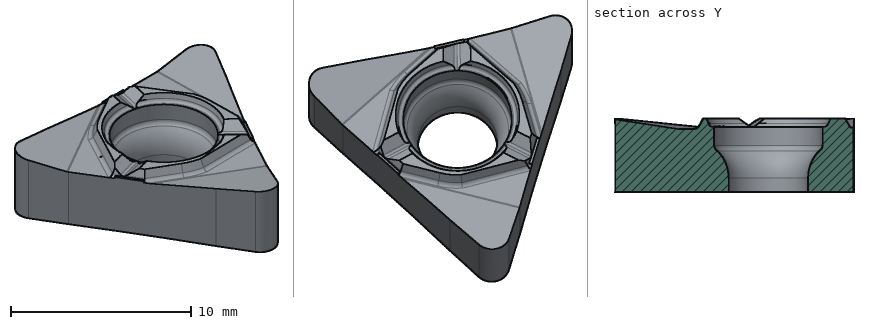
import cadquery as cq
import math

CORNERS = 3
STEP_ANGLE = 360 / CORNERS

inscribed_radius = 9.525 / 2
nose_radius = 1.0
flank_relief_half_length = 4.23
flank_relief_depth = 0.045
total_height = 4.1
floor_height = 3.51

rake_start = 4.3
rake_angle = 10.0
crease_radius = 0.35

island_rim_radius = 3.70
rim_wall_direction = 90.0
side_wall_distance = 3.60
side_wall_direction = 121.5
end_wall_distance = 4.26
end_wall_direction = 180.0
wall_draft = 30.0
island_foot_radius = 0.31

sill_height = 3.6
sill_start = -0.1
sill_end = 1.57

groove_direction = 166.0
groove_half_width = 0.76
groove_bottom_half_width = 0.1
groove_bottom_height = 3.62
groove_bottom_round = 0.28
groove_length = 6.0
groove_headroom = 1.0

hole_radius = 4.4 / 2
throat_height = 0.8
seat_top_radius = 2.83
seat_top_height = 2.3
bore_radius = 3.01
bore_bottom_height = 2.61
bore_edge_round = 0.04
ledge_height = 3.64
ledge_outer_radius = 3.10
rim_wall_foot_radius = 3.32
rim_wall_foot_height = 3.82
rim_radius = 3.44


def polar(radius, angle):
    """Point at a distance from the axis, in a direction in degrees."""
    return (radius * math.cos(math.radians(angle)), radius * math.sin(math.radians(angle)))


def turn(point, angle):
    """Turn a plan point about the axis."""
    return polar(math.hypot(*point), math.degrees(math.atan2(point[1], point[0])) + angle)


def meet(distance_a, direction_a, distance_b, direction_b):
    """Crossing of two lines, each given by its distance from the axis and its normal direction."""
    spread = math.radians(direction_b - direction_a)
    along = (distance_b - distance_a * math.cos(spread)) / math.sin(spread)
    return turn((distance_a, along), direction_a)


def around(solid):
    """Copies of a solid at every corner."""
    return [solid.rotate((0, 0, 0), (0, 0, 1), STEP_ANGLE * i) for i in range(CORNERS)]


def make_prism(height):
    """Rounded triangle whose flanks are very slightly hollow along their middle."""
    half_flank = (inscribed_radius - nose_radius) * math.tan(math.radians(STEP_ANGLE / 2))
    nose_tip = 2 * (inscribed_radius - nose_radius) + nose_radius
    outline = cq.Workplane("XY").moveTo(-inscribed_radius, half_flank)
    for i in range(CORNERS):
        angle = STEP_ANGLE * i
        relief_start = turn((-inscribed_radius, flank_relief_half_length), angle)
        relief_middle = turn((-inscribed_radius + flank_relief_depth, 0), angle)
        relief_end = turn((-inscribed_radius, -flank_relief_half_length), angle)
        flank_end = turn((-inscribed_radius, -half_flank), angle)
        tip = polar(nose_tip, angle + 180 + STEP_ANGLE / 2)
        next_flank = turn((-inscribed_radius, half_flank), angle + STEP_ANGLE)
        outline = outline.lineTo(*relief_start).threePointArc(relief_middle, relief_end)
        outline = outline.lineTo(*flank_end).threePointArc(tip, next_flank)
    return outline.close().extrude(height)


def make_rake_wedge():
    """Wedge over the +Y corner, blended into the floor by a small arc."""
    angle = math.radians(rake_angle)
    blend_length = crease_radius * math.tan(angle / 2)
    blend_start = rake_start - blend_length
    far = 2 * inscribed_radius

    def on_blend(swing):
        return (
            blend_start + crease_radius * math.sin(swing),
            floor_height + crease_radius * (1 - math.cos(swing)),
        )

    return (
        cq.Workplane("YZ", origin=(-far, 0, 0))
        .moveTo(blend_start, 0)
        .lineTo(blend_start, floor_height)
        .threePointArc(on_blend(angle / 2), on_blend(angle))
        .lineTo(far, floor_height + (far - rake_start) * math.tan(angle))
        .lineTo(far, 0)
        .close()
        .extrude(2 * far)
    )


def island_wire(height, spread):
    """Island outline at a height, every wall moved outward by the spread."""
    rim = island_rim_radius + spread
    side = side_wall_distance + spread
    end = end_wall_distance + spread
    rim_end_angle = side_wall_direction - math.degrees(math.acos(side / rim))
    wire = cq.Workplane("XY", origin=(0, 0, height)).moveTo(0, rim)
    for i in range(CORNERS):
        angle = STEP_ANGLE * i
        rim_middle = polar(rim, angle + (rim_wall_direction + rim_end_angle) / 2)
        side_corner = meet(side, side_wall_direction, end, end_wall_direction)
        end_corner = meet(end, end_wall_direction, rim, rim_wall_direction + STEP_ANGLE)
        wire = wire.threePointArc(rim_middle, polar(rim, angle + rim_end_angle))
        wire = wire.lineTo(*turn(side_corner, angle)).lineTo(*turn(end_corner, angle))
        wire = wire.lineTo(*polar(rim, angle + rim_wall_direction + STEP_ANGLE))
    return wire.close().val()


def make_island_on_floor():
    """Drafted island standing on a wide floor slab, with a rounded foot."""
    spread = (total_height - floor_height) * math.tan(math.radians(wall_draft))
    island = cq.Solid.makeLoft([island_wire(floor_height, spread), island_wire(total_height, 0)], True)
    slab = cq.Workplane("XY").circle(3 * inscribed_radius).extrude(floor_height)
    on_floor = slab.union(cq.Workplane(obj=island))
    tolerance = 0.01
    foot_reach = 2 * end_wall_distance
    foot_box = cq.selectors.BoxSelector(
        (-foot_reach, -foot_reach, floor_height - tolerance),
        (foot_reach, foot_reach, floor_height + tolerance),
    )
    return on_floor.edges(foot_box).fillet(island_foot_radius)


def make_sill():
    """Block that lifts the floor between the -X end wall and the flank."""
    return (
        cq.Workplane("XY")
        .moveTo(-inscribed_radius, sill_start)
        .lineTo(-end_wall_distance, sill_start)
        .lineTo(-end_wall_distance, sill_end)
        .lineTo(-inscribed_radius, sill_end)
        .close()
        .extrude(sill_height)
    )


def make_groove():
    """V groove running from the hole out through one flank."""
    slope = (groove_half_width - groove_bottom_half_width) / (total_height - groove_bottom_height)
    clear_top = total_height + groove_headroom
    top_half_width = groove_half_width + slope * groove_headroom
    return (
        cq.Workplane("YZ")
        .moveTo(-groove_bottom_half_width, groove_bottom_height)
        .lineTo(groove_bottom_half_width, groove_bottom_height)
        .lineTo(top_half_width, clear_top)
        .lineTo(-top_half_width, clear_top)
        .close()
        .extrude(groove_length)
        .edges("<Z and |X")
        .fillet(groove_bottom_round)
        .rotate((0, 0, 0), (0, 0, 1), groove_direction)
    )


def make_hole():
    """Stepped hole: throat, convex screw seat, bore, ledge and flared rim."""
    seat_rise = seat_top_height - throat_height
    seat_run = seat_top_radius - hole_radius
    seat_curve_radius = (seat_rise**2 + seat_run**2) / (2 * seat_run)
    half_swing = math.asin(seat_rise / seat_curve_radius) / 2
    seat_middle = (
        hole_radius + seat_curve_radius * (1 - math.cos(half_swing)),
        throat_height + seat_curve_radius * math.sin(half_swing),
    )
    blend_rise = bore_bottom_height - seat_top_height
    blend_run = bore_radius - seat_top_radius
    blend_radius = (blend_rise**2 + blend_run**2) / (2 * blend_run)
    blend_half_swing = math.asin(blend_rise / blend_radius) / 2
    blend_middle = (
        bore_radius - blend_radius * (1 - math.cos(blend_half_swing)),
        bore_bottom_height - blend_radius * math.sin(blend_half_swing),
    )
    ledge_edge = (bore_radius + bore_edge_round, ledge_height)
    return (
        cq.Workplane("XZ")
        .lineTo(hole_radius, 0)
        .lineTo(hole_radius, throat_height)
        .threePointArc(seat_middle, (seat_top_radius, seat_top_height))
        .threePointArc(blend_middle, (bore_radius, bore_bottom_height))
        .lineTo(bore_radius, ledge_height - bore_edge_round)
        .radiusArc(ledge_edge, bore_edge_round)
        .lineTo(ledge_outer_radius, ledge_height)
        .tangentArcPoint((rim_wall_foot_radius, rim_wall_foot_height), relative=False)
        .lineTo(rim_radius, total_height)
        .lineTo(0, total_height)
        .close()
        .revolve(360, (0, 0, 0), (0, 1, 0))
    )


prism = make_prism(2 * total_height)
top = make_island_on_floor()
for sill in around(make_sill()):
    top = top.union(sill)
for wedge in around(make_rake_wedge()):
    top = top.union(wedge.intersect(prism))
result = prism.intersect(top)
for groove in around(make_groove()):
    result = result.cut(groove)
result = result.cut(make_hole())